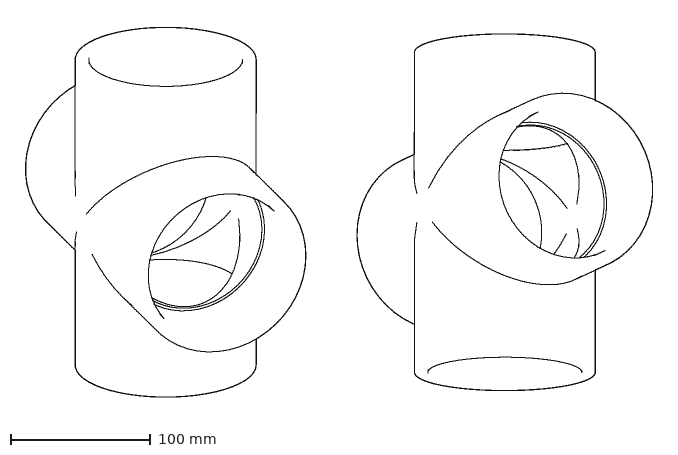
import cadquery as cq

LENGTH = 234.0
OUTER_DIAMETER = 129.5
BORE_DIAMETER = 106.0
SOCKET_DIAMETER = 110.0
SOCKET_DEPTH = 61.0
RIM_RADIUS = 0.5

HALF_LENGTH = LENGTH / 2
PIPE_PLANES = ("YZ", "XY")
END_FACES = ("<X", ">X", "<Z", ">Z")


def pipe_body(plane):
    """Solid cylinder centred on the origin."""
    return cq.Workplane(plane).circle(OUTER_DIAMETER / 2).extrude(HALF_LENGTH, both=True)


def pipe_cavity(plane):
    """Through bore that steps out to a socket at each end."""
    cavity = cq.Workplane(plane).circle(BORE_DIAMETER / 2).extrude(HALF_LENGTH, both=True)
    for side in (1, -1):
        end = cq.Workplane(plane).workplane(offset=side * HALF_LENGTH)
        socket = end.circle(SOCKET_DIAMETER / 2).extrude(-side * SOCKET_DEPTH)
        cavity = cavity.union(socket)
    return cavity


def round_rims(cross):
    """Round the outer and inner edge of each annular end face."""
    for end_face in END_FACES:
        cross = cross.faces(end_face).edges().fillet(RIM_RADIUS)
    return cross


x_pipe, z_pipe = [pipe_body(plane) for plane in PIPE_PLANES]
cross = x_pipe.union(z_pipe)
for plane in PIPE_PLANES:
    cross = cross.cut(pipe_cavity(plane))

result = round_rims(cross)